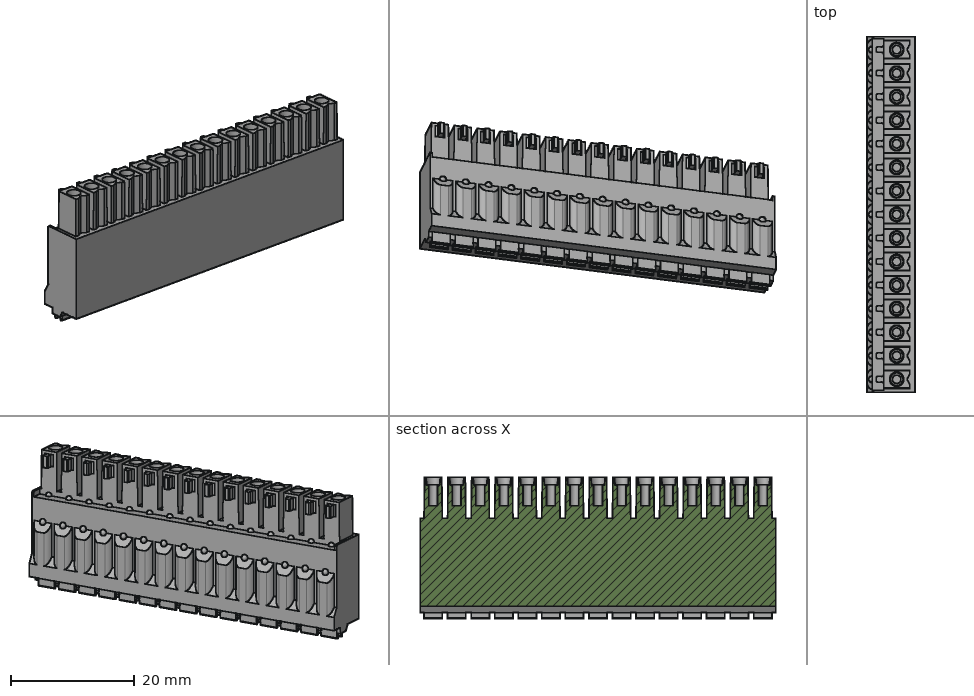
import cadquery as cq


POLE_COUNT = 15
POLE_SPAN = 53.35
PITCH = POLE_SPAN / (POLE_COUNT - 1)
BODY_LENGTH = 57.55
POLE_POSITIONS = [i * PITCH - POLE_SPAN / 2 for i in range(POLE_COUNT)]

BODY_DEPTH = 7.75
FRONT_X = -BODY_DEPTH / 2
BACK_X = BODY_DEPTH / 2
WALL_X = -3.05
BOTTOM_Z = 2.0
TOP_Z = 16.3
LEDGE_Z = 4.25
LEDGE_TOP_Z = 5.75

DECK_Z = 15.35
END_PLATE = 0.35
END_PLATE_CHAMFER = 0.25

FUNNEL_HALF_BASE = 1.65
FUNNEL_HALF_FLAT = 0.7
FUNNEL_SIDE_RADIUS = 1.2
FUNNEL_SHOULDER_Z = 9.85
FUNNEL_TOP_Z = 11.4
FUNNEL_ROOT = 0.6
FUNNEL_BACK_X = WALL_X + FUNNEL_ROOT

BALL_RADIUS = 0.545
LOWER_BALL_Z = 11.4

TOWER_FRONT_X = -1.15
TOWER_BACK_X = 3.05
TOWER_TOP_Z = 22.9
TOWER_TOP_WIDTH = 2.8
TOWER_BASE_WIDTH = 3.0
NOTCH_DEPTH = 0.45
NOTCH_HALF_WIDTH = 0.85

HOLE_X = 0.9
HOLE_TOP_RADIUS = 1.15
HOLE_STEP_RADIUS = 1.05
HOLE_STEP_DEPTH = 1.25
HOLE_CORE_RADIUS = 0.7
HOLE_DEPTH = 4.6

TAB_TIP_X = -2.4
TAB_SHOULDER_X = -2.2
TAB_FOOT_X = -1.3
TAB_HALF_WIDTH = 0.45
TAB_HALF_TIP = 0.3
TAB_HALF_FOOT = 0.8
TAB_BOTTOM_Z = 20.35
TAB_TOP_Z = 22.4

RAIL_FRONT_X = -1.95
RAIL_BOTTOM_BACK_X = -0.2
RAIL_TOP_BACK_X = 0.45
RAIL_BOTTOM_Z = 1.0

LEG_THICKNESS = 0.5
LEG_WIDTH = 3.0
LEG_TIP_CHAMFER = 0.2
LEG_FRONT_XS = (-2.0, -0.75)


def box(x_range, y_range, z_range):
    """Block spanning the given (low, high) ranges."""
    size = [high - low for low, high in (x_range, y_range, z_range)]
    corner = (x_range[0], y_range[0], z_range[0])
    return cq.Workplane("XY").box(*size, centered=False).translate(corner)


def side_profile(points, y_low, y_high):
    """Extrude an outline of (x, z) points along Y."""
    outline = cq.Workplane("XZ", origin=(0, y_high, 0)).polyline(points).close()
    return outline.extrude(y_high - y_low)


def make_body():
    half_length = BODY_LENGTH / 2
    body = side_profile(
        [
            (FRONT_X, BOTTOM_Z),
            (BACK_X, BOTTOM_Z),
            (BACK_X, TOP_Z),
            (WALL_X + END_PLATE_CHAMFER, TOP_Z),
            (WALL_X, TOP_Z - END_PLATE_CHAMFER),
            (WALL_X, LEDGE_TOP_Z),
            (FRONT_X, LEDGE_Z),
        ],
        -half_length,
        half_length,
    )
    step_end = half_length - END_PLATE
    return body.cut(box((FRONT_X, TOWER_FRONT_X), (-step_end, step_end), (DECK_Z, TOP_Z)))


def make_rail():
    return side_profile(
        [
            (RAIL_FRONT_X, BOTTOM_Z),
            (RAIL_FRONT_X, RAIL_BOTTOM_Z),
            (RAIL_BOTTOM_BACK_X, RAIL_BOTTOM_Z),
            (RAIL_TOP_BACK_X, BOTTOM_Z),
        ],
        -BODY_LENGTH / 2,
        BODY_LENGTH / 2,
    )


def make_funnel():
    base, flat = FUNNEL_HALF_BASE, FUNNEL_HALF_FLAT
    barrel = (
        cq.Workplane("XY", origin=(0, 0, LEDGE_Z))
        .moveTo(FUNNEL_BACK_X, base)
        .lineTo(WALL_X, base)
        .radiusArc((FRONT_X, flat), -FUNNEL_SIDE_RADIUS)
        .lineTo(FRONT_X, -flat)
        .radiusArc((WALL_X, -base), -FUNNEL_SIDE_RADIUS)
        .lineTo(FUNNEL_BACK_X, -base)
        .close()
        .extrude(FUNNEL_TOP_Z - LEDGE_Z)
    )
    sloped_top = side_profile(
        [
            (FRONT_X, FUNNEL_TOP_Z),
            (FRONT_X, FUNNEL_SHOULDER_Z),
            (WALL_X, FUNNEL_TOP_Z),
        ],
        -base,
        base,
    )
    return barrel.cut(sloped_top)


def make_ball(x, z):
    return cq.Workplane("XY").sphere(BALL_RADIUS).translate((x, 0, z))


def make_tower():
    half_top = TOWER_TOP_WIDTH / 2
    half_base = TOWER_BASE_WIDTH / 2
    tower = (
        cq.Workplane("YZ", origin=(TOWER_FRONT_X, 0, 0))
        .polyline(
            [
                (-half_base, DECK_Z),
                (half_base, DECK_Z),
                (half_base, TOP_Z),
                (half_top, TOWER_TOP_Z),
                (-half_top, TOWER_TOP_Z),
                (-half_base, TOP_Z),
            ]
        )
        .close()
        .extrude(TOWER_BACK_X - TOWER_FRONT_X)
    )
    notch = (
        cq.Workplane("XY", origin=(0, 0, TOP_Z))
        .polyline(
            [
                (TOWER_BACK_X, -NOTCH_HALF_WIDTH),
                (TOWER_BACK_X, NOTCH_HALF_WIDTH),
                (TOWER_BACK_X - NOTCH_DEPTH, 0),
            ]
        )
        .close()
        .extrude(TOWER_TOP_Z - TOP_Z)
    )
    return tower.cut(notch).cut(make_screw_hole())


def make_screw_hole():
    """Tapered mouth, then a flat step down to a straight core."""
    mouth = cq.Solid.makeCone(HOLE_STEP_RADIUS, HOLE_TOP_RADIUS, HOLE_STEP_DEPTH)
    mouth = mouth.translate(cq.Vector(HOLE_X, 0, TOWER_TOP_Z - HOLE_STEP_DEPTH))
    core = cq.Workplane("XY", origin=(HOLE_X, 0, TOWER_TOP_Z - HOLE_DEPTH))
    return core.circle(HOLE_CORE_RADIUS).extrude(HOLE_DEPTH).union(cq.Workplane(mouth))


def make_tab():
    half_outline = [
        (TOWER_FRONT_X, TAB_HALF_FOOT),
        (TAB_FOOT_X, TAB_HALF_WIDTH),
        (TAB_SHOULDER_X, TAB_HALF_WIDTH),
        (TAB_TIP_X, TAB_HALF_TIP),
    ]
    mirrored = [(x, -y) for x, y in reversed(half_outline)]
    outline = cq.Workplane("XY", origin=(0, 0, TAB_BOTTOM_Z)).polyline(half_outline + mirrored)
    return outline.close().extrude(TAB_TOP_Z - TAB_BOTTOM_Z)


def make_leg(front_x):
    half_width = LEG_WIDTH / 2
    leg = box((front_x, front_x + LEG_THICKNESS), (-half_width, half_width), (0, BOTTOM_Z))
    return leg.faces("<Z").edges("|Y").chamfer(LEG_TIP_CHAMFER)


def make_pole():
    """Everything one pole adds to the body, centred on Y = 0."""
    pole = make_tower().union(make_tab())
    pole = pole.union(make_ball(TOWER_FRONT_X, DECK_Z))
    legs = [make_leg(x) for x in LEG_FRONT_XS]
    lower_ball = make_ball(WALL_X, LOWER_BALL_Z)
    return [part.val() for part in (pole, make_funnel(), lower_ball, *legs)]


pole_parts = make_pole()
added_parts = [make_rail().val()]
for pole_y in POLE_POSITIONS:
    added_parts += [part.translate(cq.Vector(0, pole_y, 0)) for part in pole_parts]
result = cq.Workplane(make_body().val().fuse(*added_parts)).clean()